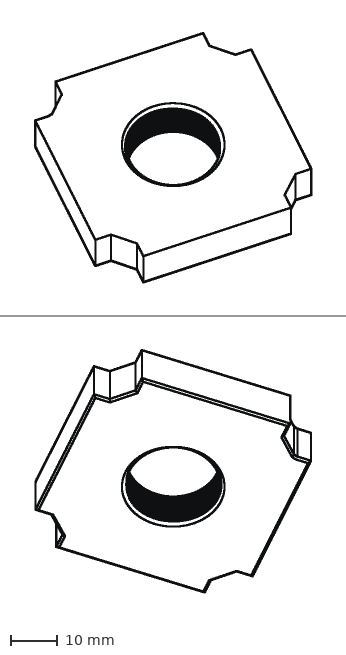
import cadquery as cq

side = 49.8
thickness = 10.0
half = side / 2
bottom_chamfer = 0.5

notch = 7.85
notch_lip = 3.65

facet_lip = 3.15
facet_start_x = 7.55
facet_start_y = 4.05

bore_diameter = 19.9
groove_diameter = 20.6
mouth_diameter = 21.9
mouth_depth = 1.0
pitch = 0.7
crest_width = 0.15
bore_overlap = 0.05
thread_turns = 13
thread_start_angle = 90

bore_radius = bore_diameter / 2
groove_radius = groove_diameter / 2
mouth_radius = mouth_diameter / 2
thread_start_height = (thickness - thread_turns * pitch) / 2


def corner_points(sign_x, sign_y):
    """Notch corners, ordered from the X side of the plate to its Y side."""
    insets = [(0, notch), (notch_lip, notch)]
    if sign_x < 0 and sign_y < 0:
        insets += [(facet_start_x, facet_start_y), (notch, facet_lip)]
    else:
        insets += [(notch, notch_lip)]
    insets += [(notch, 0)]
    return [(sign_x * (half - x), sign_y * (half - y)) for x, y in insets]


def make_plate():
    """Notched plate with its whole bottom outline chamfered."""
    outline = (
        corner_points(-1, -1)
        + corner_points(1, -1)[::-1]
        + corner_points(1, 1)
        + corner_points(-1, 1)[::-1]
    )
    plate = cq.Workplane("XY").polyline(outline).close().extrude(thickness)
    return plate.faces("<Z").edges().chamfer(bottom_chamfer)


def make_bore():
    """Solid filling the plain bore and its two flared mouths."""
    profile = [
        (0, 0),
        (mouth_radius, 0),
        (bore_radius, mouth_depth),
        (bore_radius, thickness - mouth_depth),
        (mouth_radius, thickness),
        (0, thickness),
    ]
    section = cq.Workplane("XZ").polyline(profile).close()
    return section.revolve(360, (0, 0, 0), (0, 1, 0))


def make_thread_groove():
    """Right-hand helical V groove cutter for the bore wall, ending inside the mouths."""
    depth = groove_radius - bore_radius
    half_width = (pitch - crest_width) / 2
    inner_half_width = half_width * (depth + bore_overlap) / depth
    inner_radius = bore_radius - bore_overlap
    helix = cq.Wire.makeHelix(pitch, thread_turns * pitch, bore_radius)
    section = cq.Workplane("XZ").polyline(
        [
            (inner_radius, -inner_half_width),
            (groove_radius, 0),
            (inner_radius, inner_half_width),
        ]
    ).close()
    groove = section.sweep(cq.Workplane(obj=helix), isFrenet=True)
    return groove.translate((0, 0, thread_start_height))


def turn_to_thread_start(cutter):
    """Turn a cutter about the bore axis, keeping the bore seam in line with the thread start."""
    return cutter.rotate((0, 0, 0), (0, 0, 1), thread_start_angle)


bore = turn_to_thread_start(make_bore())
thread_groove = turn_to_thread_start(make_thread_groove())
result = make_plate().cut(bore).cut(thread_groove)